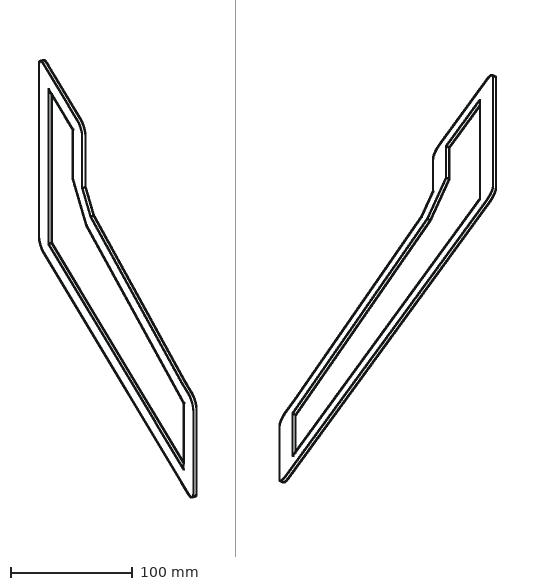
import cadquery as cq

length = 320.5
height = 221.8
thickness = 3.0

rim = 20.0
corner_radius = 10.0

leg_width = 90.0
notch_top = 152.0
notch_size = 17.3
arm_end_height = 118.0
flat_start = 296.5

window_notch_top = 144.0
window_notch_size = 28.2
window_end_height = 97.8

leg_inner = leg_width - rim
window_right = length - rim

outer_points = [
    (0, 0),
    (length, 0),
    (length, arm_end_height),
    (flat_start, arm_end_height),
    (leg_width + notch_size, notch_top - notch_size),
    (leg_width, notch_top),
    (leg_width, height),
    (0, height),
]
window_points = [
    (rim, rim),
    (window_right, rim),
    (window_right, window_end_height),
    (leg_inner + window_notch_size, window_notch_top - window_notch_size),
    (leg_inner, window_notch_top),
    (leg_inner, height - rim),
    (rim, height - rim),
]
rounded_corners = [
    (0, 0),
    (length, 0),
    (length, arm_end_height),
    (leg_width, height),
    (0, height),
]


def plate(points):
    """Flat plate of the given XZ outline, centred on Y = 0."""
    return cq.Workplane("XZ").polyline(points).close().extrude(thickness / 2, both=True)


def round_corner(body, corner):
    """Round the through-thickness edge at an XZ corner."""
    x, z = corner
    edge = cq.selectors.NearestToPointSelector((x, 0, z))
    return body.edges("|Y").edges(edge).fillet(corner_radius)


outer = plate(outer_points)
for corner in rounded_corners:
    outer = round_corner(outer, corner)

result = outer.cut(plate(window_points))